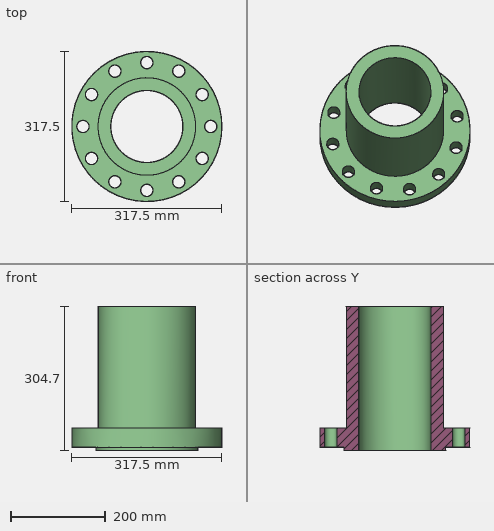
import cadquery as cq

flange_diameter = 317.5
total_height = 304.7

raised_face_diameter = 215.5
raised_face_height = 7.0

flange_thickness = 41.0

neck_diameter = 206.0
bore_diameter = 151.7

bolt_hole_count = 12
bolt_hole_diameter = 25.5
bolt_circle_diameter = 269.8

flange_bottom = raised_face_height
flange_top = flange_bottom + flange_thickness
neck_height = total_height - flange_top


def cylinder(diameter, bottom, height):
    """Solid cylinder on the Z axis, standing on the given height."""
    return cq.Workplane("XY").workplane(offset=bottom).circle(diameter / 2).extrude(height)


def bolt_holes():
    """Ring of evenly spaced cutters through the flange, the first on +X."""
    return (
        cq.Workplane("XY")
        .workplane(offset=flange_bottom)
        .polarArray(bolt_circle_diameter / 2, 0, 360, bolt_hole_count)
        .circle(bolt_hole_diameter / 2)
        .extrude(flange_thickness)
    )


raised_face = cylinder(raised_face_diameter, 0, raised_face_height)
flange = cylinder(flange_diameter, flange_bottom, flange_thickness)
neck = cylinder(neck_diameter, flange_top, neck_height)
body = raised_face.union(flange).union(neck)

bore = cylinder(bore_diameter, 0, total_height)
result = body.cut(bore).cut(bolt_holes())